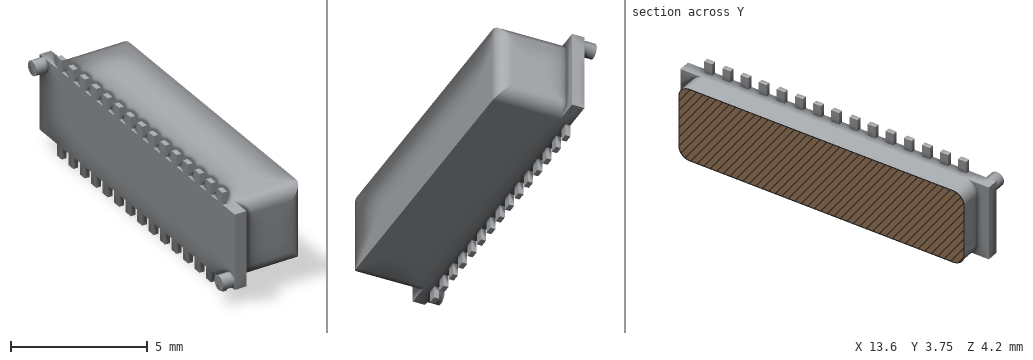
import cadquery as cq

plate_length = 13.6
plate_height = 3.2
plate_thickness = 0.5

housing_end_setback = 0.5
housing_length = plate_length - 2 * housing_end_setback
housing_depth = 2.75
end_radius = 0.5

leads_per_row = 15
lead_pitch = 0.8
lead_width = 0.35
lead_thickness = 0.2
lead_reach = 0.5
first_lead_margin = 1.2

peg_diameter = 0.6
peg_length = 0.5


def block(length, depth, height, front_y):
    """Box centred on X and Z whose front face lies at front_y."""
    return cq.Workplane("XY").box(length, depth, height, centered=(True, False, True)).translate((0, front_y, 0))


def make_housing():
    """Block with the top, bottom and rear edges of both end faces rounded."""
    housing = block(housing_length, housing_depth, plate_height, plate_thickness)
    end_edges = housing.faces("<X or >X").edges("(|Z and >Y) or |Y")
    return end_edges.fillet(end_radius)


def make_leads():
    """Strips spanning the plate, each forming one upper and one lower lead."""
    span = plate_height + 2 * lead_reach
    strip = block(lead_width, lead_thickness, span, 0)
    first_x = -plate_length / 2 + first_lead_margin + lead_width / 2
    leads = cq.Workplane("XY")
    for index in range(leads_per_row):
        leads = leads.add(strip.translate((first_x + index * lead_pitch, 0, 0)))
    return leads.combine()


def make_pegs():
    """Pegs toward -Y at the upper -X and lower +X corners, tangent to the plate sides."""
    peg_x = (plate_length - peg_diameter) / 2
    peg_z = (plate_height - peg_diameter) / 2
    corners = [(-peg_x, peg_z), (peg_x, -peg_z)]
    return cq.Workplane("XZ").pushPoints(corners).circle(peg_diameter / 2).extrude(peg_length)


plate = block(plate_length, plate_thickness, plate_height, 0)
result = plate.union(make_housing()).union(make_leads()).union(make_pegs()).clean()